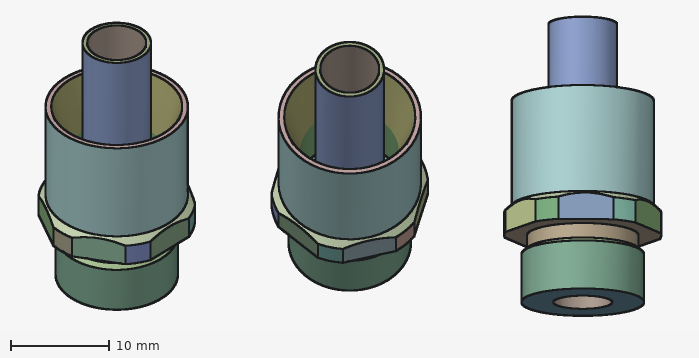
import cadquery as cq
import math

total_height = 29.0
thread_top = 5.02
neck_shoulder = 5.45
hex_bottom = 6.95
hex_chamfer_start = 9.28
hex_top = 9.95
sleeve_top = 21.0

thread_diameter = 12.5
neck_diameter = 11.37
sleeve_diameter = 14.5
hex_across_flats = 15.0
hex_corner_diameter = 16.0
tube_outer_diameter = 7.0
tube_bore_diameter = 6.0
socket_mouth_diameter = 13.35
socket_bore_diameter = 10.0

socket_taper_depth = 5.8


def cylinder(diameter, bottom, top):
    """Cylinder on the Z axis between two heights."""
    return cq.Workplane("XY").workplane(offset=bottom).circle(diameter / 2).extrude(top - bottom)


def cone(bottom_diameter, top_diameter, bottom, top):
    """Truncated cone on the Z axis between two heights."""
    profile = [(0, bottom), (bottom_diameter / 2, bottom), (top_diameter / 2, top), (0, top)]
    return cq.Workplane("XZ").polyline(profile).close().revolve(360, (0, 0, 0), (0, 1, 0))


def hex_collar():
    """Hexagon with flats facing Y, rounded corners and a conical top chamfer."""
    prism = (
        cq.Workplane("XY")
        .workplane(offset=hex_bottom)
        .polygon(6, hex_across_flats / math.cos(math.pi / 6))
        .extrude(hex_top - hex_bottom)
    )
    envelope = cylinder(hex_corner_diameter, hex_bottom, hex_chamfer_start).union(
        cone(hex_corner_diameter, sleeve_diameter, hex_chamfer_start, hex_top)
    )
    return prism.intersect(envelope)


lower_end = (
    cylinder(thread_diameter, 0, thread_top)
    .union(cone(thread_diameter, neck_diameter, thread_top, neck_shoulder))
    .union(cylinder(neck_diameter, neck_shoulder, hex_bottom))
)

socket_floor = hex_top
taper_bottom = sleeve_top - socket_taper_depth
socket = cone(socket_bore_diameter, socket_mouth_diameter, taper_bottom, sleeve_top).union(
    cylinder(socket_bore_diameter, socket_floor, taper_bottom)
)
sleeve = cylinder(sleeve_diameter, hex_top, sleeve_top).cut(socket)

tube = cylinder(tube_outer_diameter, socket_floor, total_height)
tube_bore = cylinder(tube_bore_diameter, 0, total_height)

result = lower_end.union(hex_collar()).union(sleeve).union(tube).cut(tube_bore)